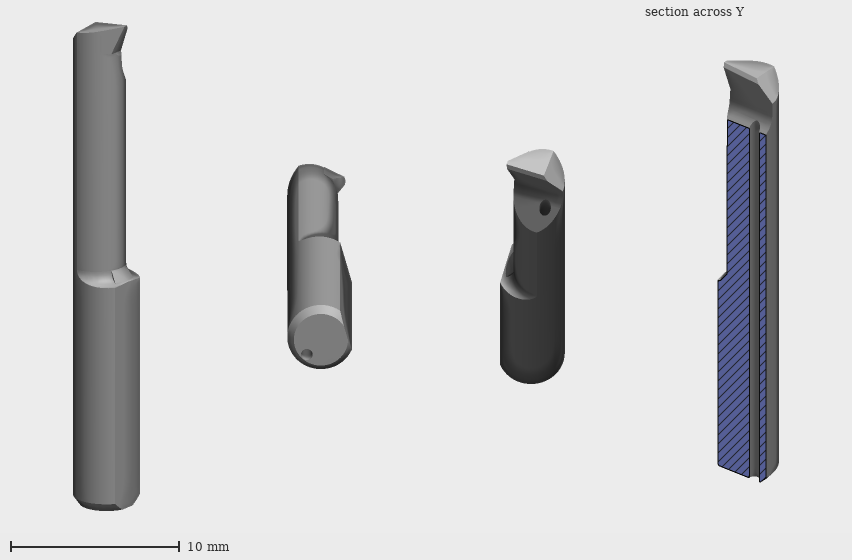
import cadquery as cq
import math

total_length = 30.0
shank_diameter = 4.0
width_across_flat = 3.55
end_chamfer_height = 0.55
end_chamfer_inset = 0.4

neck_radius = 1.8
neck_axis_x = -0.78
shoulder_radius = 0.8
shoulder_top = 14.8
ramp_half_angle = 23.0
ramp_slope = 1.6

rake_y = 0.135
relief_foot_z = 27.1
relief_angle = 40.0
relief_fillet = 1.6

tip_x = 1.53
tip_root_x = 0.55
tip_root_z = 28.35
tip_heel_x = 0.95
tip_heel_z = 28.3
heel_runout_z = 28.02
side_relief_angle = 45.0
side_relief_gap = 0.03

top_rise_per_x = 0.095
top_rise_per_y = 0.12
corner_bevel_z = 28.5
corner_bevel_slope = 1.05
corner_bevel_skew = 3.5
edge_bevel_width = 0.18
edge_bevel_depth = 0.225

coolant_diameter = 0.7
coolant_x = -1.05
coolant_y = 0.65

margin = 6.0

shank_radius = shank_diameter / 2
flat_x = width_across_flat - shank_radius
neck_right_x = neck_axis_x + neck_radius


def prism_along_y(points, y_min, y_max):
    """Extrude an outline of (x, z) points between two Y positions."""
    outline = cq.Workplane("XZ", origin=(0, y_max, 0)).polyline(points).close()
    return outline.extrude(y_max - y_min)


def make_shank():
    """Round bar with a chamfered end and a flat along its +X side."""
    bar = cq.Workplane("XY").circle(shank_radius).extrude(total_length)
    bar = bar.faces("<Z").chamfer(end_chamfer_height, end_chamfer_inset)
    flat = cq.Workplane("XY").box(margin, 2 * margin, total_length, centered=(False, True, False))
    return bar.cut(flat.translate((flat_x, 0, 0)))


def make_neck_envelope():
    """Offset round neck that flares into the shank through a concave radius."""
    flare_radius = neck_radius + shoulder_radius
    flare_bottom = shoulder_top - shoulder_radius
    arc_offset = shoulder_radius * (1 - math.sqrt(0.5))
    profile = (
        cq.Workplane("XZ")
        .moveTo(0, 0)
        .lineTo(margin, 0)
        .lineTo(margin, flare_bottom)
        .lineTo(flare_radius, flare_bottom)
        .threePointArc(
            (neck_radius + arc_offset, flare_bottom + arc_offset),
            (neck_radius, shoulder_top),
        )
        .lineTo(neck_radius, total_length)
        .lineTo(0, total_length)
        .close()
    )
    return profile.revolve(360, (0, 0, 0), (0, 1, 0)).translate((neck_axis_x, 0, 0))


def make_shoulder_ramp():
    """Conical sector filling the concave shoulder on the +X side."""
    ramp_run = shank_radius - neck_right_x
    ramp_bottom = shoulder_top - ramp_slope * ramp_run
    profile = cq.Workplane("XZ").polyline(
        [
            (0, ramp_bottom),
            (neck_radius + ramp_run, ramp_bottom),
            (neck_radius, shoulder_top),
            (0, shoulder_top),
        ]
    )
    sector = profile.close().revolve(2 * ramp_half_angle, (0, 0, 0), (0, -1, 0))
    centred = sector.rotate((0, 0, 0), (0, 0, 1), ramp_half_angle)
    return centred.translate((neck_axis_x, 0, 0))


def make_tip():
    """Cutting tip, its side relief parallel to a tangent of the neck."""
    tip = prism_along_y(
        [
            (tip_root_x, total_length),
            (tip_x, total_length),
            (tip_heel_x, tip_heel_z),
            (tip_root_x, tip_root_z),
        ],
        -neck_radius,
        rake_y,
    )
    keep = cq.Workplane("XY").box(
        margin, 2 * margin, total_length, centered=(False, True, False)
    )
    keep = keep.translate((neck_radius + side_relief_gap - margin, 0, 0))
    keep = keep.rotate((0, 0, 0), (0, 0, 1), -side_relief_angle)
    keep = keep.translate((neck_axis_x, 0, 0))
    return tip.intersect(keep)


def make_heel_clearance():
    """Notch under the tip that runs out on the side of the neck."""
    return prism_along_y(
        [
            (tip_x, total_length),
            (tip_heel_x, tip_heel_z),
            (neck_right_x, heel_runout_z),
            (margin, heel_runout_z),
            (margin, total_length),
        ],
        -margin,
        margin,
    )


def make_back_relief():
    """Space behind the rake face, with a filleted run-out at its foot."""
    foot_y = rake_y + margin
    foot_z = relief_foot_z - margin / math.tan(math.radians(relief_angle))
    relief = (
        cq.Workplane("YZ")
        .polyline(
            [
                (rake_y, relief_foot_z),
                (foot_y, foot_z),
                (foot_y, total_length + margin),
                (rake_y, total_length + margin),
            ]
        )
        .close()
        .extrude(margin, both=True)
    )
    corner = cq.selectors.NearestToPointSelector((0, rake_y, relief_foot_z))
    return relief.edges(corner).fillet(relief_fillet)


def make_corner_bevel():
    """Wedge removed from the -X corner of the top."""
    start_x = -shank_radius
    rise = margin * corner_bevel_slope
    wedge = prism_along_y(
        [
            (start_x - margin, corner_bevel_z - rise),
            (start_x + margin, corner_bevel_z + rise),
            (start_x - margin, corner_bevel_z + rise),
        ],
        -margin,
        margin,
    )
    return wedge.rotate((start_x, 0, 0), (start_x, 0, 1), corner_bevel_skew)


def make_top_clearance():
    """Space above the top face, bevelled down along the rake face."""
    ridge_y = rake_y - edge_bevel_width
    low_z = total_length - top_rise_per_y * margin

    def section(x):
        drop = (tip_x - x) * top_rise_per_x
        points = [
            (ridge_y, total_length - drop),
            (ridge_y - margin, low_z - drop),
            (ridge_y - margin, total_length + margin),
            (rake_y, total_length + margin),
            (rake_y, total_length - edge_bevel_depth - drop),
        ]
        return cq.Wire.makePolygon([cq.Vector(x, y, z) for y, z in points], close=True)

    ends = [section(-margin), section(margin)]
    return cq.Workplane("XY").add(cq.Solid.makeLoft(ends, True))


def make_coolant_hole():
    """Coolant passage through the whole length."""
    hole = cq.Workplane("XY").center(coolant_x, coolant_y)
    return hole.circle(coolant_diameter / 2).extrude(total_length + margin, both=True)


result = make_shank().intersect(make_neck_envelope().union(make_shoulder_ramp()))
result = result.union(make_tip())
for removed in (
    make_heel_clearance(),
    make_top_clearance(),
    make_back_relief(),
    make_corner_bevel(),
    make_coolant_hole(),
):
    result = result.cut(removed)